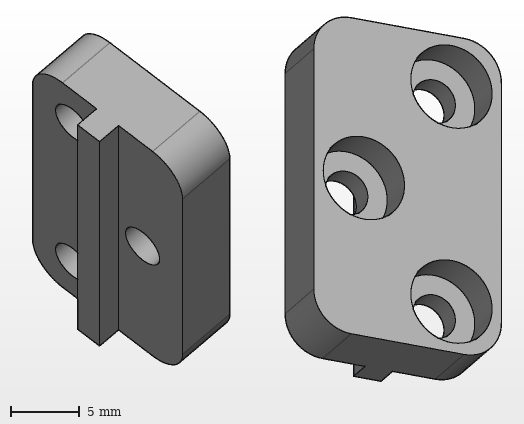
import cadquery as cq

plate_width = 15.0
plate_thickness = 5.0
height = 25.0
corner_radius = 3.0

rib_width = 2.2
rib_depth = 2.0

hole_diameter = 3.4
recess_diameter = 6.5
recess_depth = 3.0
hole_offset_x = 3.5
hole_offset_z = 8.5
hole_centres = [
    (-hole_offset_x, hole_offset_z),
    (-hole_offset_x, -hole_offset_z),
    (hole_offset_x, 0),
]


def make_plate():
    """Rounded plate with its front face at Y = 0 and its back at +Y."""
    block = cq.Workplane("XY").box(plate_width, plate_thickness, height, centered=(True, False, True))
    return block.edges("|Y").fillet(corner_radius)


def make_rib():
    """Rectangular rib reaching from the front face toward -Y."""
    rib = cq.Workplane("XY").box(rib_width, rib_depth, height, centered=(True, False, True))
    return rib.translate((0, -rib_depth, 0))


def make_holes():
    """Cylinders running through the plate from front to back."""
    return cq.Workplane("XZ").pushPoints(hole_centres).circle(hole_diameter / 2).extrude(-plate_thickness)


def make_recesses():
    """Wider round recesses sunk into the back face around the holes."""
    back_face = cq.Workplane("XZ", origin=(0, plate_thickness, 0))
    return back_face.pushPoints(hole_centres).circle(recess_diameter / 2).extrude(recess_depth)


result = make_plate().union(make_rib()).cut(make_holes()).cut(make_recesses())